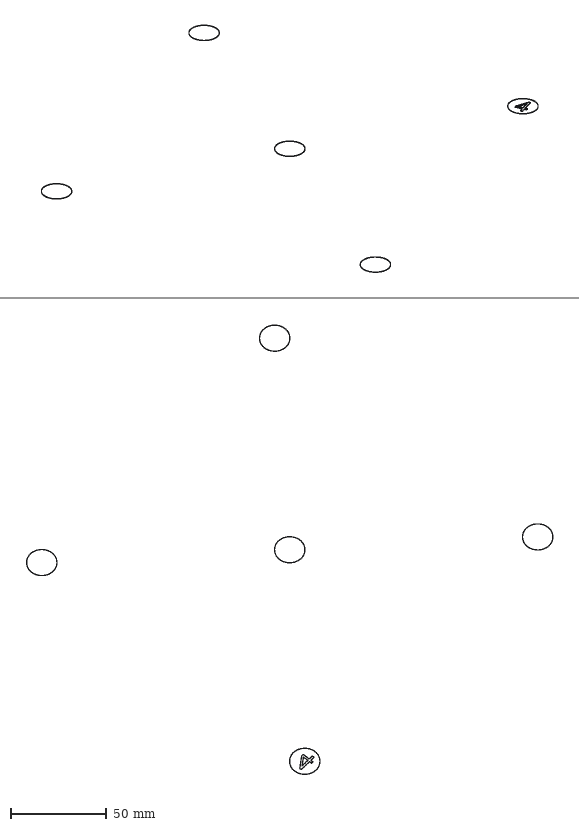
import cadquery as cq

overall_size = 200.0
disc_diameter = 16.0
disc_thickness = 0.25
corner_offset = (overall_size - disc_diameter) / 2

opening_width = 6.8
opening_height = 10.0
opening_right = opening_width / 2
opening_left = -opening_right
opening_top = opening_height / 2
opening_bottom = -opening_top

stem_left = 0.8
stem_width = 1.2
stem_right = stem_left + stem_width

stroke_head_width = 1.0
stroke_head_left = stem_right - stroke_head_width

crossbar_bottom = -2.5
crossbar_height = 1.12
crossbar_top = crossbar_bottom + crossbar_height

triangle_width = 3.12
stroke_slope = (opening_top - crossbar_top) / (stroke_head_left - opening_left)
triangle_height = triangle_width * stroke_slope


def make_disc(x, y):
    """Plain flat disc centred at (x, y)."""
    return cq.Workplane("XY").center(x, y).circle(disc_diameter / 2).extrude(disc_thickness)


def make_triangle(x, y):
    """Loose triangle inside the opening of the disc centred at (x, y)."""
    return (
        cq.Workplane("XY")
        .center(x, y)
        .moveTo(stem_left, crossbar_top)
        .lineTo(stem_left, crossbar_top + triangle_height)
        .lineTo(stem_left - triangle_width, crossbar_top)
        .close()
        .extrude(disc_thickness)
    )


def make_open_disc(x, y):
    """Disc centred at (x, y) with the opening cut right through it."""
    opening_outline = [
        (stem_left, opening_bottom),
        (stem_left, crossbar_bottom),
        (opening_left, crossbar_bottom),
        (opening_left, crossbar_top),
        (stroke_head_left, opening_top),
        (stem_right, opening_top),
        (stem_right, crossbar_top),
        (opening_right, crossbar_top),
        (opening_right, crossbar_bottom),
        (stem_right, crossbar_bottom),
        (stem_right, opening_bottom),
    ]
    opening = (
        cq.Workplane("XY")
        .center(x, y)
        .polyline(opening_outline)
        .close()
        .extrude(disc_thickness)
    )
    return make_disc(x, y).cut(opening)


plain_disc_centres = [
    (0, 0),
    (-corner_offset, -corner_offset),
    (corner_offset, -corner_offset),
    (-corner_offset, corner_offset),
]
plain_discs = [make_disc(x, y).val() for x, y in plain_disc_centres]
open_disc = make_open_disc(corner_offset, corner_offset)
triangle = make_triangle(corner_offset, corner_offset)

result = cq.Compound.makeCompound([*plain_discs, open_disc.val(), triangle.val()])